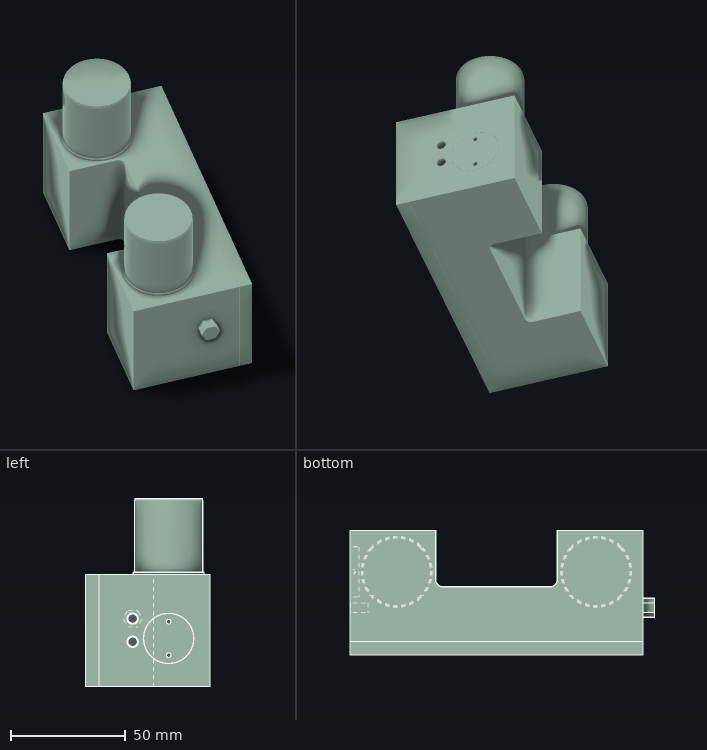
import cadquery as cq
import math

FULL_TURN = 360

TOTAL_LENGTH = 133.1
HEX_HEIGHT = 5.0
BLOCK_LENGTH = TOTAL_LENGTH - HEX_HEIGHT
TOTAL_DEPTH = 54.5
BLOCK_HEIGHT = 49.0
PLATE_THICKNESS = 6.0
JOINT_WIDTH = 0.07
JOINT_DEPTH = 0.3
HOUSING_DEPTH = TOTAL_DEPTH - PLATE_THICKNESS

ARM_WIDTH = 37.5
GAP_WIDTH = BLOCK_LENGTH - 2 * ARM_WIDTH
GAP_DEPTH = 24.6
GAP_CORNER_RADIUS = 3.0

TOTAL_HEIGHT = 82.0
PISTON_HEIGHT = TOTAL_HEIGHT - BLOCK_HEIGHT
PISTON_DIAMETER = 30.0
PISTON_SPACING = 87.0
LEFT_PISTON_X = (BLOCK_LENGTH - PISTON_SPACING) / 2
PISTON_Y = 18.1
PISTON_EDGE_WIDTH = 0.3
PISTON_EDGE_HEIGHT = 1.0
COLLAR_DIAMETER = 31.0
COLLAR_HEIGHT = 1.0
COLLAR_CHAMFER = 0.3

COVER_DIAMETER = 21.8
COVER_BORE_DIAMETER = 22.0
COVER_THICKNESS = 4.0
COVER_Z = 21.0
PIN_HOLE_DIAMETER = 2.0
PIN_HOLE_DEPTH = 2.0
PIN_HOLE_SPACING = 14.6
DRILL_POINT_ANGLE = 120
PIN_HOLE_POINT = PIN_HOLE_DIAMETER / 2 / math.tan(math.radians(DRILL_POINT_ANGLE / 2))

PORT_DIAMETER = 4.1
PORT_DEPTH = 8.0
PORT_CHAMFER = 0.4
PORT_Y = 33.8
LOWER_PORT_Z = 19.5
UPPER_PORT_Z = 29.7
HEX_SIDES = 6
HEX_CORNER_DIAMETER = 8.4


def make_cover_disc(diameter):
    """Disc as thick as the cover, set into the left end."""
    return (
        cq.Workplane("YZ", origin=(0, PISTON_Y, COVER_Z))
        .circle(diameter / 2)
        .extrude(COVER_THICKNESS)
    )


def make_port_bore():
    """Blind round bore along X with a chamfered mouth on the left end."""
    radius = PORT_DIAMETER / 2
    return (
        cq.Workplane("XY")
        .polyline([
            (0, 0),
            (0, radius + PORT_CHAMFER),
            (PORT_CHAMFER, radius),
            (PORT_DEPTH, radius),
            (PORT_DEPTH, 0),
        ])
        .close()
        .revolve(FULL_TURN, (0, 0, 0), (1, 0, 0))
    )


def make_pin_hole():
    """Blind hole along X from the left end, with a conical drill point."""
    radius = PIN_HOLE_DIAMETER / 2
    return (
        cq.Workplane("XY")
        .polyline([
            (0, 0),
            (0, radius),
            (PIN_HOLE_DEPTH, radius),
            (PIN_HOLE_DEPTH + PIN_HOLE_POINT, 0),
        ])
        .close()
        .revolve(FULL_TURN, (0, 0, 0), (1, 0, 0))
    )


def make_housing():
    """Two-armed block with the cover recess, the ports and the hexagon on the right end."""
    body = cq.Workplane("XY").box(BLOCK_LENGTH, HOUSING_DEPTH, BLOCK_HEIGHT, centered=False)
    gap = (
        cq.Workplane("XY")
        .box(GAP_WIDTH, GAP_DEPTH, BLOCK_HEIGHT, centered=False)
        .edges("|Z and >Y")
        .fillet(GAP_CORNER_RADIUS)
        .translate((ARM_WIDTH, 0, 0))
    )
    body = body.cut(gap).cut(make_cover_disc(COVER_BORE_DIAMETER))
    for port_z in (LOWER_PORT_Z, UPPER_PORT_Z):
        body = body.cut(make_port_bore().translate((0, PORT_Y, port_z)))
    hexagon = (
        cq.Workplane("YZ", origin=(BLOCK_LENGTH, PORT_Y, UPPER_PORT_Z))
        .polygon(HEX_SIDES, HEX_CORNER_DIAMETER)
        .extrude(HEX_HEIGHT)
    )
    return body.union(hexagon)


def make_plate():
    """Back plate whose raised pad meets the housing, leaving a hairline joint around its edge."""
    plate = cq.Workplane("XY", origin=(0, HOUSING_DEPTH + JOINT_WIDTH, 0)).box(
        BLOCK_LENGTH, PLATE_THICKNESS - JOINT_WIDTH, BLOCK_HEIGHT, centered=False
    )
    pad = cq.Workplane("XY", origin=(JOINT_DEPTH, HOUSING_DEPTH, JOINT_DEPTH)).box(
        BLOCK_LENGTH - 2 * JOINT_DEPTH,
        JOINT_WIDTH,
        BLOCK_HEIGHT - 2 * JOINT_DEPTH,
        centered=False,
    )
    return plate.union(pad)


def make_piston(x):
    """Round piston with a bevelled top edge and a chamfered collar at its foot."""
    radius = PISTON_DIAMETER / 2
    collar_radius = COLLAR_DIAMETER / 2
    return (
        cq.Workplane("XZ", origin=(x, PISTON_Y, BLOCK_HEIGHT))
        .polyline([
            (0, 0),
            (collar_radius, 0),
            (collar_radius, COLLAR_HEIGHT - COLLAR_CHAMFER),
            (collar_radius - COLLAR_CHAMFER, COLLAR_HEIGHT),
            (radius, COLLAR_HEIGHT),
            (radius, PISTON_HEIGHT - PISTON_EDGE_HEIGHT),
            (radius - PISTON_EDGE_WIDTH, PISTON_HEIGHT),
            (0, PISTON_HEIGHT),
        ])
        .close()
        .revolve(FULL_TURN, (0, 0, 0), (0, 1, 0))
    )


def make_cover():
    """Disc flush with the left end, with two blind holes for a pin wrench."""
    disc = make_cover_disc(COVER_DIAMETER)
    for side in (-1, 1):
        hole_z = COVER_Z + side * PIN_HOLE_SPACING / 2
        disc = disc.cut(make_pin_hole().translate((0, PISTON_Y, hole_z)))
    return disc


housing = make_housing()
plate = make_plate()
cover = make_cover()
pistons = []
for piston_x in (LEFT_PISTON_X, LEFT_PISTON_X + PISTON_SPACING):
    pistons.append(make_piston(piston_x).val())

result = cq.Compound.makeCompound([housing.val(), plate.val(), cover.val(), *pistons])